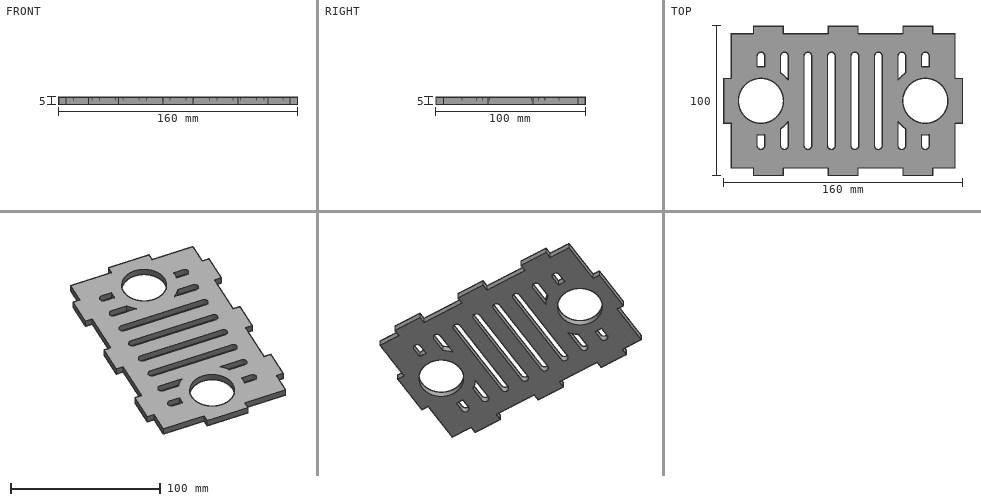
import cadquery as cq

length = 160.0
width = 100.0
tab_width = 20.0
sheet_thickness = tab_width / 4
tab_depth = sheet_thickness
body_length = length - 2 * tab_depth
body_width = width - 2 * tab_depth

side_tab_pitch = 2.5 * tab_width
end_tab_width = 1.5 * tab_width

opening_diameter = 1.5 * tab_width
opening_edge_margin = tab_width / 2
opening_offset = length / 2 - opening_edge_margin - opening_diameter / 2

slot_count = 8
slot_width = sheet_thickness
slot_length = 65.0
slot_pitch = 2 * opening_offset / (slot_count - 1)

collar_diameter = 46.0


def bottom_plane():
    """Workplane on the underside of the plate."""
    return cq.Workplane("XY").workplane(offset=-sheet_thickness / 2)


def make_plate():
    """Flat body with three tabs on each long side and one on each end."""
    body = bottom_plane().rect(body_length, body_width).extrude(sheet_thickness)
    side_tabs = (
        bottom_plane()
        .rarray(side_tab_pitch, 1.6, 3, 1)
        .rect(tab_width, width)
        .extrude(sheet_thickness)
    )
    end_tabs = bottom_plane().rect(length, end_tab_width).extrude(sheet_thickness)
    return body.union(side_tabs).union(end_tabs).clean()


def make_discs(diameter):
    """Pair of discs centred on the two openings."""
    return (
        bottom_plane()
        .rarray(2 * opening_offset, 1.6, 2, 1)
        .circle(diameter / 2)
        .extrude(sheet_thickness)
    )


def make_slots():
    """Row of round-ended vent slots running along Y."""
    return (
        bottom_plane()
        .rarray(slot_pitch, 1.6, slot_count, 1)
        .slot2D(slot_length, slot_width, 90)
        .extrude(sheet_thickness)
    )


vents = make_slots().cut(make_discs(collar_diameter))
result = make_plate().cut(vents).cut(make_discs(opening_diameter))